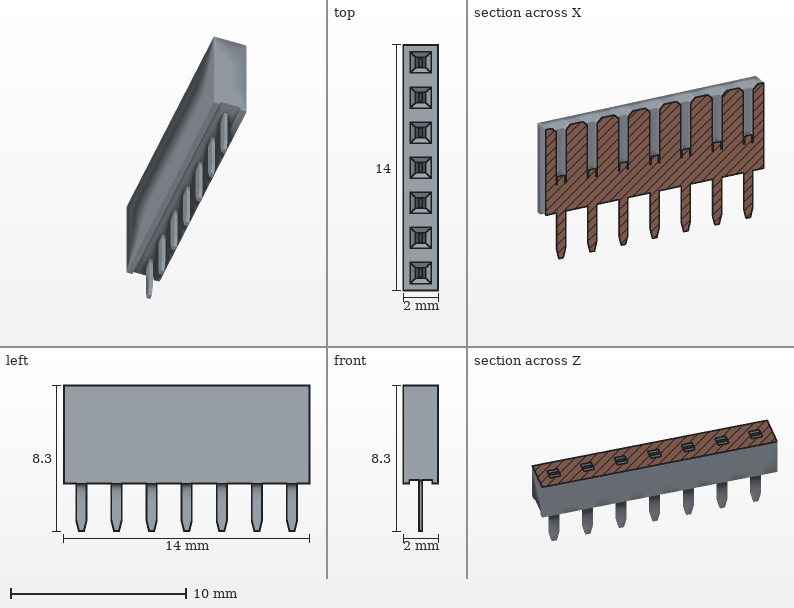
import cadquery as cq

pin_count = 7
pitch = 2.0

body_width = 2.0
body_length = pin_count * pitch
body_height = 5.6

channel_width = 1.3
channel_height = 0.2

mouth_size = 1.2
socket_size = 0.6
lead_in_depth = (mouth_size - socket_size) / 2
socket_depth = 3.6

pin_thickness = 0.2
pin_width = 0.6
contact_width = 0.5
pin_tip_width = 0.3
pin_tip_length = 0.6
pin_length_below_body = 2.7
pin_rise_above_floor = 0.5

socket_floor = body_height - socket_depth
pin_top = socket_floor + pin_rise_above_floor
pin_bottom = -pin_length_below_body
pin_taper_start = pin_bottom + pin_tip_length


def make_body():
    """Rectangular housing with the channel cut along its underside."""
    block = cq.Workplane("XY").box(body_width, body_length, body_height, centered=(True, True, False))
    channel = cq.Workplane("XY").box(
        channel_width, body_length, channel_height, centered=(True, True, False)
    )
    return block.cut(channel)


def make_socket(y):
    """Cutting shape of one socket: a square well below a pyramidal mouth."""
    well = (
        cq.Workplane("XY", origin=(0, y, socket_floor))
        .box(socket_size, socket_size, socket_depth, centered=(True, True, False))
    )
    lead_in = (
        cq.Workplane("XY", origin=(0, y, body_height))
        .rect(mouth_size, mouth_size)
        .workplane(offset=-lead_in_depth)
        .rect(socket_size, socket_size)
        .loft(ruled=True)
    )
    return well.union(lead_in)


def make_pin(y):
    """Flat pin, tapered at its lower end and stepped in to the contact end at the socket floor."""
    half_contact = contact_width / 2
    half_width = pin_width / 2
    half_tip = pin_tip_width / 2
    return (
        cq.Workplane("YZ", origin=(0, y, 0))
        .moveTo(-half_contact, pin_top)
        .lineTo(half_contact, pin_top)
        .lineTo(half_contact, socket_floor)
        .lineTo(half_width, socket_floor)
        .lineTo(half_width, pin_taper_start)
        .lineTo(half_tip, pin_bottom)
        .lineTo(-half_tip, pin_bottom)
        .lineTo(-half_width, pin_taper_start)
        .lineTo(-half_width, socket_floor)
        .lineTo(-half_contact, socket_floor)
        .close()
        .extrude(pin_thickness / 2, both=True)
    )


result = make_body()
for position in range(pin_count):
    pin_y = (position - (pin_count - 1) / 2) * pitch
    result = result.cut(make_socket(pin_y)).union(make_pin(pin_y))